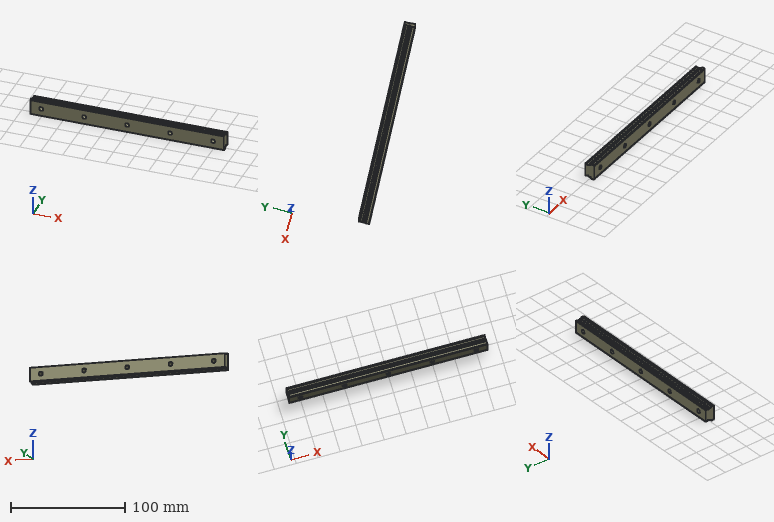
import cadquery as cq

length = 180.0
depth = 9.5
height = 15.0

half_height = height / 2
front_chamfer = 0.63
shoulder_depth = 2.9
ledge_start = 4.1
ledge_end = 5.0
ledge_half_height = 6.3
groove_bottom_depth = 6.5
groove_half_height = 5.5
arc_mid_depth = 7.5
arc_mid_half_height = 5.8
lip_start = 8.3
lip_half_height = 6.1

hole_diameter = 3.6
hole_count = 5
hole_pitch = 40.0


def half_rail(side):
    """Extrude the upper (side=1) or lower (side=-1) half of the rail along X."""
    profile = (
        cq.Workplane("YZ")
        .moveTo(0, 0)
        .lineTo(0, side * (half_height - front_chamfer))
        .lineTo(front_chamfer, side * half_height)
        .lineTo(shoulder_depth, side * half_height)
        .lineTo(ledge_start, side * ledge_half_height)
        .lineTo(ledge_end, side * ledge_half_height)
        .lineTo(groove_bottom_depth, side * groove_half_height)
        .threePointArc(
            (arc_mid_depth, side * arc_mid_half_height),
            (lip_start, side * lip_half_height),
        )
        .lineTo(depth, side * lip_half_height)
        .lineTo(depth, 0)
        .close()
    )
    return profile.extrude(length / 2, both=True)


def mounting_holes():
    """Through holes along Y, evenly spaced about the middle of the rail."""
    return (
        cq.Workplane("XZ")
        .rarray(hole_pitch, 1.8, hole_count, 1)
        .circle(hole_diameter / 2)
        .extrude(-depth)
    )


rail = half_rail(1).union(half_rail(-1)).clean()
result = rail.cut(mounting_holes())